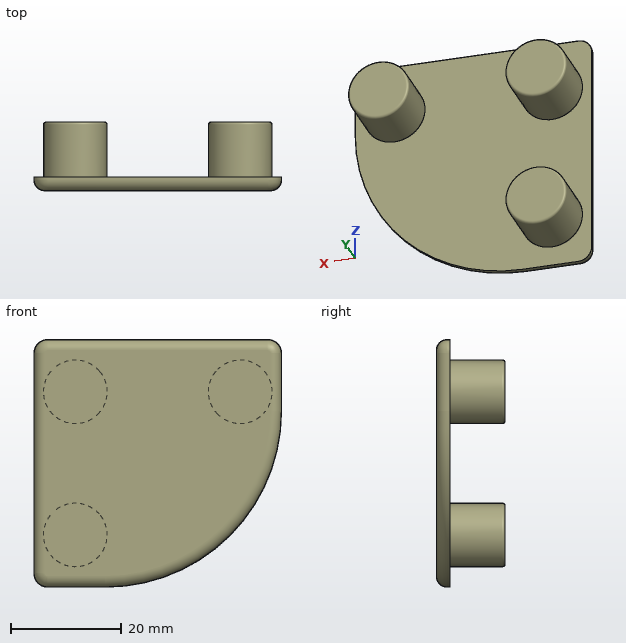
import cadquery as cq
import math

side = 45.0
total_depth = 12.5
plate_thickness = 2.5
corner_radius = 2.5
sweep_radius = 32.0
face_fillet = 2.0

peg_diameter = 11.55
peg_length = total_depth - plate_thickness
peg_end_fillet = 0.5
peg_inset_x = 7.5
peg_inset_z = 9.5

half = side / 2
peg_x = half - peg_inset_x
peg_z = half - peg_inset_z


def corner_middle(x_sign, z_sign, radius):
    """Middle point of the arc that rounds one corner of the square."""
    reach = half - radius * (1 - math.sqrt(0.5))
    return (x_sign * reach, z_sign * reach)


def make_plate():
    small = half - corner_radius
    large = half - sweep_radius
    outline = (
        cq.Workplane("XZ")
        .moveTo(-small, half)
        .lineTo(small, half)
        .threePointArc(corner_middle(1, 1, corner_radius), (half, small))
        .lineTo(half, -large)
        .threePointArc(corner_middle(1, -1, sweep_radius), (large, -half))
        .lineTo(-small, -half)
        .threePointArc(corner_middle(-1, -1, corner_radius), (-half, -small))
        .lineTo(-half, small)
        .threePointArc(corner_middle(-1, 1, corner_radius), (-small, half))
        .close()
    )
    plate = outline.extrude(-plate_thickness)
    return plate.faces("<Y").edges().fillet(face_fillet)


def make_peg(x, z):
    peg = (
        cq.Workplane("XZ", origin=(x, plate_thickness, z))
        .circle(peg_diameter / 2)
        .extrude(-peg_length)
    )
    return peg.faces(">Y").edges().fillet(peg_end_fillet)


result = make_plate()
for x, z in [(-peg_x, peg_z), (peg_x, peg_z), (-peg_x, -peg_z)]:
    result = result.union(make_peg(x, z))